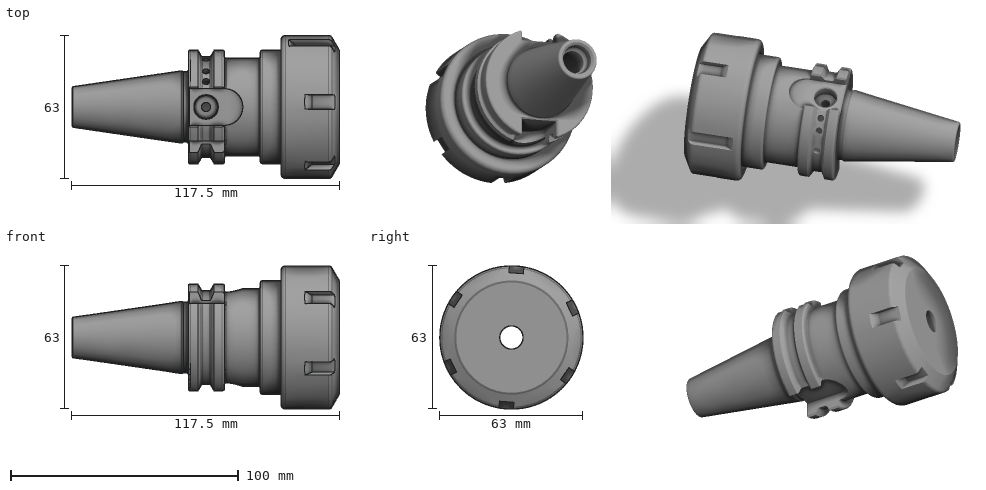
import cadquery as cq
import math


taper_length = 47.8
gauge_radius = 31.75 / 2
taper_ratio = 7 / 24
taper_end_radius = gauge_radius - taper_length * taper_ratio / 2
taper_end_fillet = 0.8
relief_start = 0.5
relief_slope_length = 0.6
relief_radius = 15.5
relief_fillet = 0.8

flange_rear = 3.2
flange_front = 19.1
flange_radius = 25.0
flange_rear_fillet = 0.9
flange_front_fillet = 1.0
flange_root_fillet = 0.7
groove_center = 11.0
groove_floor_radius = 22.15
groove_floor_width = 3.9
groove_floor_fillet = 0.6
groove_wall_angle = math.radians(30)

body_radius = 21.5
collar_rear = 34.8
collar_radius = 25.0
collar_root_fillet = 0.7
collar_edge_fillet = 1.05

slot_width = 16.1
upper_slot_floor = 19.1
lower_slot_floor = 16.3
notch_offset = 15.0
entry_chamfer = 0.6
slot_rim_bevel_height = 0.9

port_radius = 5.0
port_depth = 4.9
port_edge_chamfer = 0.4
port_drill_radius = 2.0
screw_hole_radius = 1.5
screw_hole_depth = 4.0
screw_hole_angles = [30.4, 45.0, 70.0]

bore_radius = 5.05
pilot_radius = 6.5
pilot_depth = 5.5
countersink_radius = 7.5

nut_rear = 43.9
nut_front = 69.7
nut_radius = 31.5
nut_cone_length = 3.95
nut_cone_angle = math.radians(60)
nut_front_radius = nut_radius - nut_cone_length * math.tan(nut_cone_angle)
nut_rear_fillet = 2.1
nut_cone_fillet = 1.75
nut_front_fillet = 0.8
nut_mouth_chamfer = 1.0
nut_wall = nut_cone_length
nut_recess_end = nut_front - nut_wall

spanner_slot_count = 6
spanner_slot_width = 6.4
spanner_slot_floor = 28.3
spanner_slot_start = 54.3
long_slot_start = 47.2
long_slot_index = 1
first_slot_angle = 4.2

overcut = 5.0


def turned(points):
    """Solid of revolution about X from a closed outline of (x, radius) points."""
    return cq.Workplane("XY").polyline(points).close().revolve(360, (0, 0, 0), (1, 0, 0))


def circle_at(x, radius):
    """Selects the circular edges of one radius lying in the plane at x."""
    tolerance = 0.01
    return cq.selectors.BoxSelector(
        (x - tolerance, -radius - 1, -radius - 1), (x + tolerance, radius + 1, radius + 1), boundingbox=True
    ) - cq.selectors.BoxSelector(
        (x - tolerance, -radius + tolerance, -radius + tolerance),
        (x + tolerance, radius - tolerance, radius - tolerance), boundingbox=True
    )


def holder_blank():
    """Turned outside of the holder, from the taper end to the seat inside the nut."""
    relief_end = relief_start + relief_slope_length
    blank = turned([
        (-taper_length, 0),
        (-taper_length, taper_end_radius),
        (0, gauge_radius),
        (relief_start, gauge_radius),
        (relief_end, relief_radius),
        (flange_rear, relief_radius),
        (flange_rear, flange_radius),
        (flange_front, flange_radius),
        (flange_front, body_radius),
        (collar_rear, body_radius),
        (collar_rear, collar_radius),
        (nut_recess_end, collar_radius),
        (nut_recess_end, 0),
    ])
    fillets = [
        (-taper_length, taper_end_radius, taper_end_fillet),
        (flange_rear, relief_radius, relief_fillet),
        (flange_rear, flange_radius, flange_rear_fillet),
        (flange_front, flange_radius, flange_front_fillet),
        (flange_front, body_radius, flange_root_fillet),
        (collar_rear, body_radius, collar_root_fillet),
        (collar_rear, collar_radius, collar_edge_fillet),
    ]
    for x, radius, size in fillets:
        blank = blank.edges(circle_at(x, radius)).fillet(size)
    return blank


def gripper_groove():
    """Ring cutter for the V-sided groove around the flange."""
    half_floor = groove_floor_width / 2
    outer_radius = flange_radius + overcut
    half_top = half_floor + (outer_radius - groove_floor_radius) * math.tan(groove_wall_angle)
    ring = turned([
        (groove_center - half_floor, groove_floor_radius),
        (groove_center - half_top, outer_radius),
        (groove_center + half_top, outer_radius),
        (groove_center + half_floor, groove_floor_radius),
    ])
    for x in (groove_center - half_floor, groove_center + half_floor):
        ring = ring.edges(circle_at(x, groove_floor_radius)).fillet(groove_floor_fillet)
    return ring


def rear_chamfer(y_min, y_max, z_min, z_max):
    """Cutter that bevels the edges of a rectangular opening in the rear flange face."""
    margin = entry_chamfer
    return (
        cq.Workplane("YZ", origin=(flange_rear, 0, 0))
        .center((y_min + y_max) / 2, (z_min + z_max) / 2)
        .rect(y_max - y_min + 2 * margin, z_max - z_min + 2 * margin)
        .extrude(entry_chamfer, taper=45)
    )


def drive_slot(floor):
    """Round-ended slot cutter on the +Z side, with its beveled entry and rim."""
    height = flange_radius + overcut - floor
    plane = cq.Workplane("XY", origin=(0, 0, floor))
    half_width = slot_width / 2
    slot = (
        plane.moveTo(flange_rear, -half_width)
        .lineTo(flange_front, -half_width)
        .threePointArc((flange_front + half_width, 0), (flange_front, half_width))
        .lineTo(flange_rear, half_width)
        .close()
        .extrude(height)
    )
    rim_height = math.sqrt(flange_radius**2 - half_width**2)
    bevel_bottom = rim_height - slot_rim_bevel_height
    bevel_width = half_width + overcut
    bevel = (
        cq.Workplane("YZ", origin=(flange_rear, 0, 0))
        .polyline([
            (-half_width, bevel_bottom),
            (half_width, bevel_bottom),
            (bevel_width, bevel_bottom + overcut),
            (-bevel_width, bevel_bottom + overcut),
        ])
        .close()
        .extrude(flange_front - flange_rear)
    )
    entry = rear_chamfer(-half_width, half_width, floor, floor + height)
    return slot.union(bevel).union(entry)


def orientation_notch():
    """Square corner cutter on the -Y +Z side of the flange, with its beveled entry."""
    size = flange_radius + overcut - notch_offset
    notch = (
        cq.Workplane("XY")
        .box(flange_front - flange_rear, size, size, centered=False)
        .translate((flange_rear, -notch_offset - size, notch_offset))
    )
    return notch.union(
        rear_chamfer(-notch_offset - size, -notch_offset, notch_offset, notch_offset + size)
    )


def coolant_port():
    """Counterbored radial hole from the upper slot floor into the axial bore."""
    floor_plane = cq.Workplane("XY", origin=(groove_center, 0, upper_slot_floor))
    counterbore = floor_plane.circle(port_radius).extrude(-port_depth)
    bevel = floor_plane.circle(port_radius + port_edge_chamfer).extrude(-port_edge_chamfer, taper=45)
    drill = floor_plane.circle(port_drill_radius).extrude(-upper_slot_floor)
    return counterbore.union(bevel).union(drill)


def screw_hole(angle):
    """Blind radial hole in the floor of the gripper groove."""
    return (
        cq.Workplane("XY", origin=(groove_center, 0, groove_floor_radius - screw_hole_depth))
        .circle(screw_hole_radius)
        .extrude(screw_hole_depth + overcut)
        .rotate((0, 0, 0), (1, 0, 0), -angle)
    )


def axial_bore():
    """Through bore with a pilot and a countersink at the taper end."""
    rear = -taper_length
    pilot_end = rear + pilot_depth
    return turned([
        (rear, 0),
        (rear, countersink_radius),
        (rear + countersink_radius - pilot_radius, pilot_radius),
        (pilot_end, pilot_radius),
        (pilot_end + pilot_radius - bore_radius, bore_radius),
        (nut_front, bore_radius),
        (nut_front, 0),
    ])


def make_holder():
    """Holder body with its flange features, coolant port and bore."""
    holder = holder_blank().cut(gripper_groove())
    holder = holder.cut(drive_slot(upper_slot_floor))
    holder = holder.cut(drive_slot(lower_slot_floor).rotate((0, 0, 0), (1, 0, 0), 180))
    holder = holder.cut(orientation_notch())
    holder = holder.cut(coolant_port())
    for angle in screw_hole_angles:
        holder = holder.cut(screw_hole(angle))
    return holder.cut(axial_bore())


def spanner_slot(start, angle):
    """Slot cutter open to the nut front, with a 45 degree run-out at its rear."""
    depth = nut_radius - spanner_slot_floor
    end = nut_front + overcut
    return (
        cq.Workplane("XZ")
        .polyline([
            (start - overcut, nut_radius + overcut),
            (start + depth, spanner_slot_floor),
            (end, spanner_slot_floor),
            (end, nut_radius + overcut),
        ])
        .close()
        .extrude(spanner_slot_width / 2, both=True)
        .rotate((0, 0, 0), (1, 0, 0), -angle)
    )


def make_nut():
    """Clamping nut that sits over the collar, with spanner slots around it."""
    cone_start = nut_front - nut_cone_length
    nut = turned([
        (nut_rear, collar_radius + nut_mouth_chamfer),
        (nut_rear, nut_radius),
        (cone_start, nut_radius),
        (nut_front, nut_front_radius),
        (nut_front, bore_radius),
        (nut_recess_end, bore_radius),
        (nut_recess_end, collar_radius),
        (nut_rear + nut_mouth_chamfer, collar_radius),
    ])
    fillets = [
        (nut_rear, nut_radius, nut_rear_fillet),
        (cone_start, nut_radius, nut_cone_fillet),
        (nut_front, nut_front_radius, nut_front_fillet),
    ]
    for x, radius, size in fillets:
        nut = nut.edges(circle_at(x, radius)).fillet(size)
    for index in range(spanner_slot_count):
        start = long_slot_start if index == long_slot_index else spanner_slot_start
        angle = first_slot_angle + index * 360 / spanner_slot_count
        nut = nut.cut(spanner_slot(start, angle))
    return nut


holder = make_holder()
nut = make_nut()
result = cq.Compound.makeCompound([holder.val(), nut.val()])